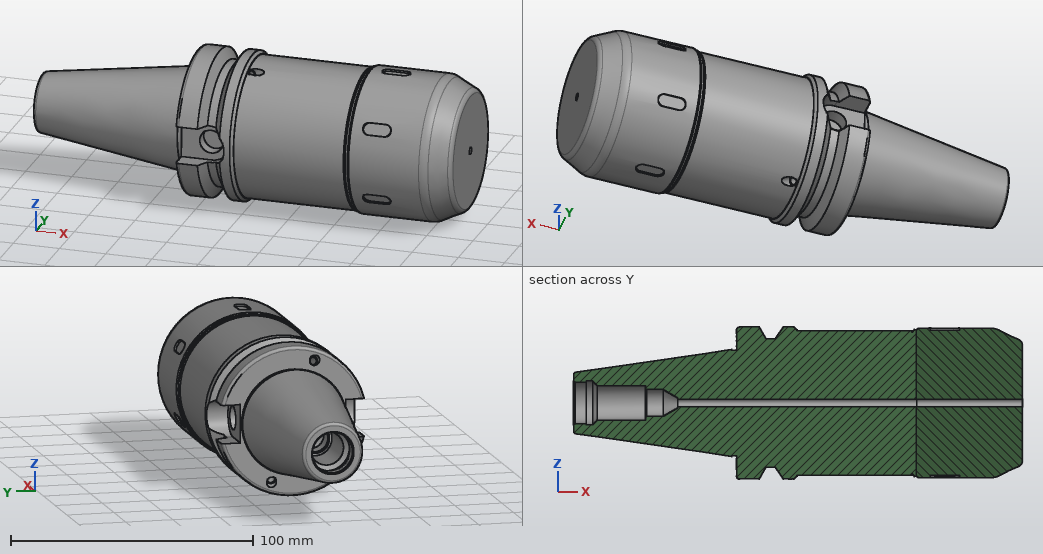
import cadquery as cq
import math

LENGTH = 185.4

TAPER_RATIO = 7 / 24
TAPER_END_RADIUS = 25.4 / 2
TAPER_END_ROUNDING = 1.1
GAUGE_X = 65.5
NECK_RADIUS = 44.0 / 2

FLANGE_X = 67.3
FLANGE_END_X = 92.3
FLANGE_RADIUS = 31.5
FLANGE_EDGE = 1.3
GROOVE_RADIUS = 53.2 / 2
GROOVE_START_X = 76.8
GROOVE_FLOOR_X = 79.5
GROOVE_FLOOR_END_X = 83.2
GROOVE_END_X = 86.5

SLOT_WIDTH = 16.1
SLOT_END_X = 88.6
SLOT_FLOOR = 22.5
SLOT_CENTRE_X = SLOT_END_X - SLOT_WIDTH / 2
POCKET_DIAMETER = 10.0
POCKET_DEPTH = 5.5
POCKET_CENTRE_X = 80.3

BODY_RADIUS = 59.9 / 2
COLLAR_RADIUS = 30.4
COLLAR_CONE_X = 139.8
COLLAR_NECK_RADIUS = 29.3
COLLAR_X = 140.7

NUT_X = 141.6
NUT_RADIUS = 31.0
NUT_REAR_CHAMFER_LENGTH = 0.7
NOSE_START_X = 172.6
NOSE_CONE_X = 176.3
NOSE_CONE_RADIUS = 29.8
NOSE_CONE_END_X = 183.7
NOSE_CONE_END_RADIUS = 26.3
NOSE_FACE_RADIUS = 48.5 / 2

WRENCH_SLOT_COUNT = 6
WRENCH_SLOT_WIDTH = 5.2
WRENCH_SLOT_LENGTH = 12.0
WRENCH_SLOT_CENTRE_X = 153.3
WRENCH_SLOT_DEPTH = 1.0

BORE_MOUTH_RADIUS = 18.0 / 2
BORE_ENTRY_RADIUS = 17.0 / 2
BORE_MOUTH_CHAMFER = 0.7
BORE_ENTRY_DEPTH = 5.4
BORE_RELIEF_RADIUS = BORE_MOUTH_RADIUS
BORE_RELIEF_DEPTH = 8.0
BORE_THREAD_RADIUS = 14.0 / 2
BORE_THREAD_DEPTH = 29.7
BORE_STEP_RADIUS = 12.0 / 2
BORE_STEP_CHAMFER = 0.5
BORE_INNER_RADIUS = 11.0 / 2
BORE_INNER_DEPTH = 37.0
BORE_END_CONE_ANGLE = 60
BORE_END_CONE_RADIUS = 4.0 / 2
COOLANT_RADIUS = 3.0 / 2

PASSAGE_DIAMETER = 3.2
PASSAGE_MOUTH_DIAMETER = 4.0
PASSAGE_MOUTH_DEPTH = 2.5
PASSAGE_TILT = 20
PASSAGE_INLET_RADIUS = 26.9
PASSAGE_OUTLET_X = 95.9
INLET_SLOPE = math.tan(math.radians(20))
OUTLET_SLOPE = math.tan(math.radians(37))


def taper_radius(x):
    """Shank radius at a distance x from the small end."""
    return TAPER_END_RADIUS + x * TAPER_RATIO / 2


def revolve_about_x(profile):
    """Turn a closed XY profile into a solid of revolution about the X axis."""
    return profile.close().revolve(360, (0, 0, 0), (1, 0, 0))


def holder_blank():
    """Turned outside of the holder, from the taper to the joint with the nut."""
    return revolve_about_x(
        cq.Workplane("XY")
        .moveTo(0, 0)
        .lineTo(0, TAPER_END_RADIUS - TAPER_END_ROUNDING)
        .tangentArcPoint((TAPER_END_ROUNDING, taper_radius(TAPER_END_ROUNDING)), relative=False)
        .lineTo(GAUGE_X, taper_radius(GAUGE_X))
        .lineTo(GAUGE_X, NECK_RADIUS)
        .lineTo(FLANGE_X, NECK_RADIUS)
        .lineTo(FLANGE_X, FLANGE_RADIUS - FLANGE_EDGE)
        .tangentArcPoint((FLANGE_X + FLANGE_EDGE, FLANGE_RADIUS), relative=False)
        .lineTo(GROOVE_START_X, FLANGE_RADIUS)
        .lineTo(GROOVE_FLOOR_X, GROOVE_RADIUS)
        .lineTo(GROOVE_FLOOR_END_X, GROOVE_RADIUS)
        .lineTo(GROOVE_END_X, FLANGE_RADIUS)
        .lineTo(FLANGE_END_X - FLANGE_EDGE, FLANGE_RADIUS)
        .lineTo(FLANGE_END_X, FLANGE_RADIUS - FLANGE_EDGE)
        .lineTo(FLANGE_END_X, BODY_RADIUS)
        .lineTo(COLLAR_CONE_X, BODY_RADIUS)
        .lineTo(COLLAR_CONE_X, COLLAR_NECK_RADIUS)
        .lineTo(COLLAR_X, COLLAR_RADIUS)
        .lineTo(NUT_X, COLLAR_RADIUS)
        .lineTo(NUT_X, 0)
    )


def stepped_bore():
    """Bore that steps down from the small end to the coolant hole."""
    cone_height = BORE_INNER_RADIUS - BORE_END_CONE_RADIUS
    cone_length = cone_height / math.tan(math.radians(BORE_END_CONE_ANGLE / 2))
    thread_start = BORE_RELIEF_DEPTH + BORE_RELIEF_RADIUS - BORE_THREAD_RADIUS
    return revolve_about_x(
        cq.Workplane("XY")
        .moveTo(0, 0)
        .lineTo(0, BORE_MOUTH_RADIUS)
        .lineTo(BORE_MOUTH_CHAMFER, BORE_ENTRY_RADIUS)
        .lineTo(BORE_ENTRY_DEPTH, BORE_ENTRY_RADIUS)
        .lineTo(BORE_ENTRY_DEPTH, BORE_RELIEF_RADIUS)
        .lineTo(BORE_RELIEF_DEPTH, BORE_RELIEF_RADIUS)
        .lineTo(thread_start, BORE_THREAD_RADIUS)
        .lineTo(BORE_THREAD_DEPTH, BORE_THREAD_RADIUS)
        .lineTo(BORE_THREAD_DEPTH, BORE_STEP_RADIUS)
        .lineTo(BORE_THREAD_DEPTH + BORE_STEP_CHAMFER, BORE_INNER_RADIUS)
        .lineTo(BORE_INNER_DEPTH, BORE_INNER_RADIUS)
        .lineTo(BORE_INNER_DEPTH + cone_length, BORE_END_CONE_RADIUS)
        .lineTo(BORE_INNER_DEPTH + cone_length, COOLANT_RADIUS)
        .lineTo(LENGTH, COOLANT_RADIUS)
        .lineTo(LENGTH, 0)
    )


def drive_slot():
    """Round-ended slot on the -Y side, open towards the taper, with the recess in its floor."""
    half_width = SLOT_WIDTH / 2
    slot = (
        cq.Workplane("XZ", origin=(0, -SLOT_FLOOR, 0))
        .moveTo(FLANGE_X, -half_width)
        .lineTo(SLOT_CENTRE_X, -half_width)
        .threePointArc((SLOT_END_X, 0), (SLOT_CENTRE_X, half_width))
        .lineTo(FLANGE_X, half_width)
        .close()
        .extrude(FLANGE_RADIUS - SLOT_FLOOR)
    )
    pocket = (
        cq.Workplane("XZ", origin=(POCKET_CENTRE_X, -SLOT_FLOOR, 0))
        .circle(POCKET_DIAMETER / 2)
        .extrude(-POCKET_DEPTH)
    )
    return slot.union(pocket)


def drilling(mouth, end):
    """Straight hole in the XZ plane from mouth to end, with a wider mouth on the same axis."""
    direction = (end - mouth).normalized()
    overrun = PASSAGE_MOUTH_DIAMETER
    hole = cq.Solid.makeCylinder(PASSAGE_DIAMETER / 2, (end - mouth).Length, mouth, direction)
    wide_mouth = cq.Solid.makeCylinder(
        PASSAGE_MOUTH_DIAMETER / 2,
        overrun + PASSAGE_MOUTH_DEPTH,
        mouth - direction * overrun,
        direction,
    )
    return cq.Workplane(hole).union(cq.Workplane(wide_mouth))


def coolant_passage():
    """Two drillings that meet below the groove, one from the flange face and one from the body."""
    inlet = cq.Vector(FLANGE_X, 0, PASSAGE_INLET_RADIUS)
    outlet = cq.Vector(PASSAGE_OUTLET_X, 0, BODY_RADIUS)
    drop = OUTLET_SLOPE * (outlet.x - inlet.x) - (outlet.z - inlet.z)
    reach = drop / (INLET_SLOPE + OUTLET_SLOPE)
    meeting = cq.Vector(inlet.x + reach, 0, inlet.z - INLET_SLOPE * reach)
    passage = drilling(inlet, meeting).union(drilling(outlet, meeting))
    return passage.rotate((0, 0, 0), (1, 0, 0), PASSAGE_TILT)


def make_holder():
    """Holder body with its bore, two drive slots and two coolant passages."""
    holder = holder_blank().cut(stepped_bore())
    for side in range(2):
        turn = side * 180
        holder = holder.cut(drive_slot().rotate((0, 0, 0), (1, 0, 0), turn))
        holder = holder.cut(coolant_passage().rotate((0, 0, 0), (1, 0, 0), turn))
    return holder


def nut_blank():
    """Turned nut with a rounded, tapering nose and the coolant hole."""
    return revolve_about_x(
        cq.Workplane("XY")
        .moveTo(NUT_X, COOLANT_RADIUS)
        .lineTo(NUT_X, COLLAR_RADIUS)
        .lineTo(NUT_X + NUT_REAR_CHAMFER_LENGTH, NUT_RADIUS)
        .lineTo(NOSE_START_X, NUT_RADIUS)
        .tangentArcPoint((NOSE_CONE_X, NOSE_CONE_RADIUS), relative=False)
        .lineTo(NOSE_CONE_END_X, NOSE_CONE_END_RADIUS)
        .tangentArcPoint((LENGTH, NOSE_FACE_RADIUS), relative=False)
        .lineTo(LENGTH, COOLANT_RADIUS)
    )


def wrench_slot():
    """Flat-bottomed slot on the +Z side of the nut."""
    return (
        cq.Workplane("XY", origin=(WRENCH_SLOT_CENTRE_X, 0, NUT_RADIUS - WRENCH_SLOT_DEPTH))
        .slot2D(WRENCH_SLOT_LENGTH, WRENCH_SLOT_WIDTH)
        .extrude(NUT_RADIUS)
    )


def make_nut():
    """Clamping nut with wrench slots spaced evenly around it."""
    nut = nut_blank()
    for i in range(WRENCH_SLOT_COUNT):
        nut = nut.cut(wrench_slot().rotate((0, 0, 0), (1, 0, 0), i * 360 / WRENCH_SLOT_COUNT))
    return nut


holder = make_holder()
nut = make_nut()
result = cq.Compound.makeCompound([holder.val(), nut.val()])